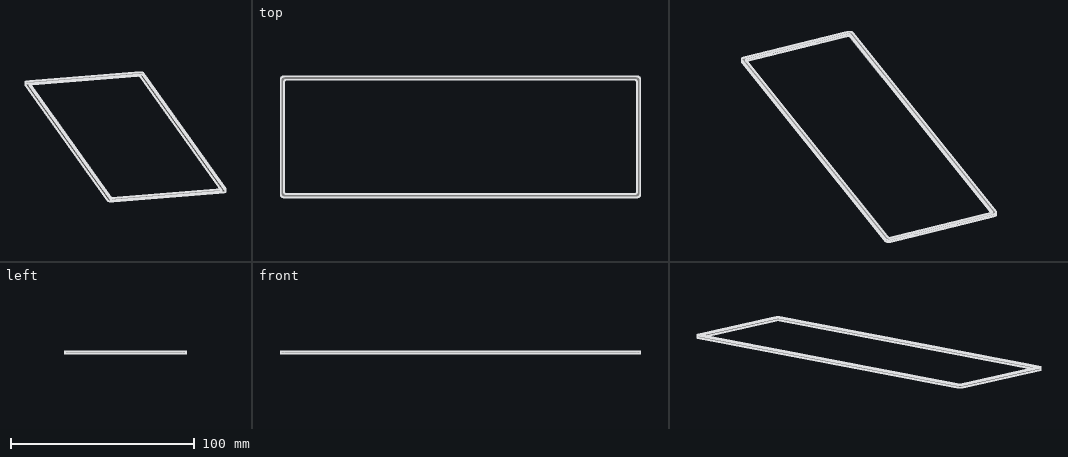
import cadquery as cq

length = 196.0
width = 66.0
thickness = 1.4
inner_radius = 1.0
rail = 2 * inner_radius
outer_radius = rail


def rounded_plate(size_x, size_y, corner_radius):
    """Flat plate with its four vertical corners rounded."""
    return cq.Workplane("XY").box(size_x, size_y, thickness).edges("|Z").fillet(corner_radius)


outer = rounded_plate(length, width, outer_radius)
opening = rounded_plate(length - 2 * rail, width - 2 * rail, inner_radius)

result = outer.cut(opening)